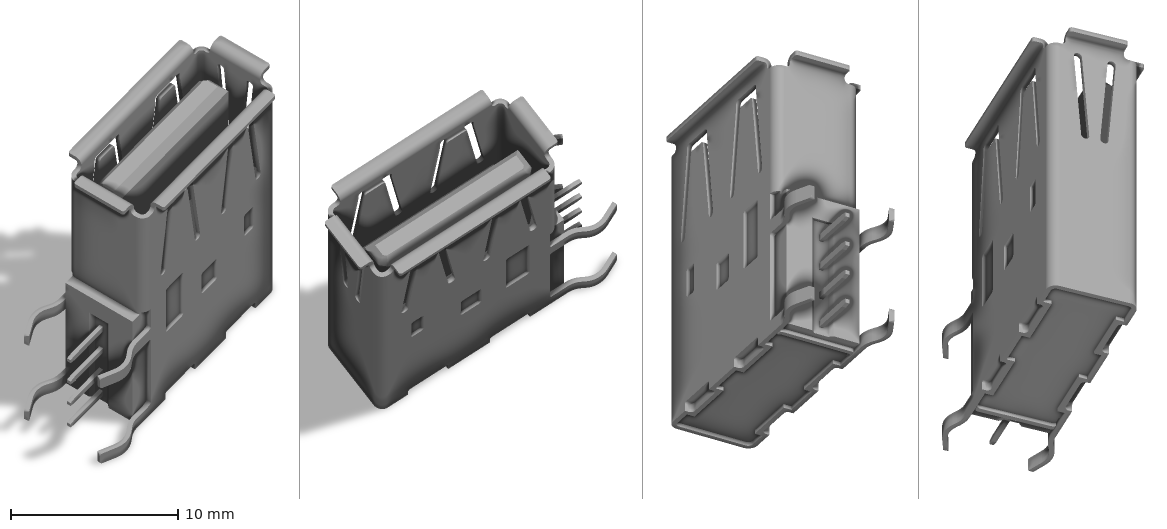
import cadquery as cq
import math

SHEET = 0.3
SHELL_HALF_X = 2.9
SHELL_HALF_Y = 6.55
CORNER_RADIUS = 0.62
TUBE_TOP = 18.47
INNER_HALF_X = SHELL_HALF_X - SHEET
INNER_HALF_Y = SHELL_HALF_Y - SHEET

LIP_TOP = 19.3
LIP_BEND = 0.15
LIP_ROOT_FILLET = 0.29
LIP_TIP_ROUND = 0.15
OUTER_WIDTH = 7.2
SIDE_LIP_TIP = OUTER_WIDTH / 2
SIDE_LIP_HALF_LENGTH = 5.54
END_LIP_TIP = 7.25
END_LIP_HALF_LENGTH = 1.87

SPRING_Y = 3.0
WINDOW_TOP = 18.24
WINDOW_HALF_TOP = 1.24
WINDOW_HALF_BOTTOM = 1.97
WINDOW_FILLET = 0.29
SPRING_TOP = 17.56
SPRING_FILLET = 0.2
SLOT_WIDTH = 0.52
SLOT_BOTTOM = 11.83

END_SLOT_TOP = 18.05
END_SLOT_HEIGHT = 6.37
END_SLOT_X = 0.85
END_SLOT_TILT = 4.6

RECESSES = [
    (3.78, 8.7, 0.93, 1.97),
    (-0.14, 7.31, 1.52, 1.9),
    (-3.55, 8.15, 1.74, 3.98),
]
RECESS_DEPTH = 0.15
RECESS_CORNER = 0.2
RECESS_DRAFT = 45

OPENING_TOP = 9.75
OPENING_Y = -5.9
OPENING_FILLET = 0.2
NOTCH_LENGTH = 2.91
NOTCH_HEIGHT = 0.6
NOTCH_FILLET = 0.15
TAB_HALF_X = 2.37
TAB_CORNER = 0.29

CLIP_HEIGHT = 0.9
CLIP_LEVELS = (0.0, 6.99)
CLIP_BEND_START_Y = -7.25
CLIP_TIP_Y = -10.87
CLIP_OUTWARD_ANGLE = 30
CLIP_INWARD_ANGLE = 25
CLIP_FIRST_RADIUS = 1.66
CLIP_SECOND_RADIUS = 1.5
CLIP_RAMP_LENGTH = 0.33
CLIP_TIP_ROUND = 0.2

HOUSING_BOTTOM = 0.25
FLOOR_Z = 10.42
HOUSING_REAR_Y = -5.64
BLOCK_HALF_X = 2.5
BLOCK_REAR_Y = -7.22
BLOCK_TOP = 9.53
LEDGE_TOP = 10.04

TONGUE_X_MIN = -1.87
TONGUE_X_MAX = -0.02
TONGUE_HALF_Y = 5.6
TONGUE_TOP = 17.52
TONGUE_CORNER = 0.42
TONGUE_LEAD_IN = 0.55
TONGUE_LEAD_IN_RUN = 0.45

GROOVE_TOP = 8.05
GROOVE_HALF_MOUTH = 0.73
GROOVE_HALF_FLOOR = 0.48
GROOVE_DEPTH = 0.23
PIN_COUNT = 4
PIN_PITCH = 1.99
FIRST_PIN_Z = 0.96
PIN_WIDTH = 0.27
PIN_HEIGHT = 0.42
PIN_TIP_HEIGHT = 0.27
PIN_TIP_Y = -10.2
PIN_TAPER = 0.4
PIN_EMBED = 0.39


def box(x_range, y_range, z_range):
    """Box spanning the given (low, high) pairs."""
    size = [high - low for low, high in (x_range, y_range, z_range)]
    low_corner = (x_range[0], y_range[0], z_range[0])
    return cq.Workplane("XY").box(*size, centered=False).translate(low_corner)


def on_both_sides(solid):
    """The solid together with its mirror image across X = 0."""
    return solid.union(solid.mirror("YZ"))


def tube():
    outer = cq.Workplane("XY").rect(2 * SHELL_HALF_X, 2 * SHELL_HALF_Y).extrude(TUBE_TOP)
    inner = cq.Workplane("XY").rect(2 * INNER_HALF_X, 2 * INNER_HALF_Y).extrude(TUBE_TOP)
    outer = outer.edges("|Z").fillet(CORNER_RADIUS)
    inner = inner.edges("|Z").fillet(CORNER_RADIUS - SHEET)
    return outer.cut(inner)


def lip(wall_outer, tip, half_length):
    """Lip that rises from the wall facing +X and flares outward."""
    outer_radius = LIP_BEND + SHEET
    bend_z = LIP_TOP - outer_radius
    bend_x = wall_outer + LIP_BEND
    slant = math.sqrt(0.5)
    profile = (
        cq.Workplane("XZ")
        .moveTo(wall_outer - SHEET, TUBE_TOP)
        .lineTo(wall_outer - SHEET, bend_z)
        .threePointArc((bend_x - outer_radius * slant, bend_z + outer_radius * slant), (bend_x, LIP_TOP))
        .lineTo(tip, LIP_TOP)
        .lineTo(tip, LIP_TOP - SHEET)
        .lineTo(bend_x, LIP_TOP - SHEET)
        .threePointArc((bend_x - LIP_BEND * slant, bend_z + LIP_BEND * slant), (wall_outer, bend_z))
        .lineTo(wall_outer, TUBE_TOP)
        .close()
    )
    flare = profile.extrude(half_length, both=True).edges("|Z and >X").fillet(LIP_TIP_ROUND)

    root_end = half_length + LIP_ROOT_FILLET
    root_top = TUBE_TOP + LIP_ROOT_FILLET
    root = box((wall_outer - SHEET, wall_outer), (-root_end, root_end), (TUBE_TOP, root_top))
    for end in (-root_end, root_end):
        round_cut = (
            cq.Workplane("YZ", origin=(wall_outer - SHEET, 0, 0))
            .center(end, root_top)
            .circle(LIP_ROOT_FILLET)
            .extrude(SHEET)
        )
        root = root.cut(round_cut)
    return flare.union(root)


def spring_cut(y_center):
    """Opening through both long walls that leaves one tapered spring standing."""
    slot_end_z = SLOT_BOTTOM + SLOT_WIDTH / 2
    spring_half_top = WINDOW_HALF_TOP - SLOT_WIDTH
    spring_half_bottom = WINDOW_HALF_BOTTOM - SLOT_WIDTH
    slot_mid = (WINDOW_HALF_BOTTOM + spring_half_bottom) / 2
    opening = (
        cq.Workplane("YZ", origin=(-SHELL_HALF_X, y_center, 0))
        .moveTo(-WINDOW_HALF_TOP, WINDOW_TOP)
        .lineTo(WINDOW_HALF_TOP, WINDOW_TOP)
        .lineTo(WINDOW_HALF_TOP, SPRING_TOP)
        .lineTo(WINDOW_HALF_BOTTOM, slot_end_z)
        .threePointArc((slot_mid, SLOT_BOTTOM), (spring_half_bottom, slot_end_z))
        .lineTo(spring_half_top, SPRING_TOP)
        .lineTo(-spring_half_top, SPRING_TOP)
        .lineTo(-spring_half_bottom, slot_end_z)
        .threePointArc((-slot_mid, SLOT_BOTTOM), (-WINDOW_HALF_BOTTOM, slot_end_z))
        .lineTo(-WINDOW_HALF_TOP, SPRING_TOP)
        .close()
        .extrude(2 * SHELL_HALF_X)
    )
    opening = opening.edges("|X and >Z").fillet(WINDOW_FILLET)
    spring_corners = cq.selectors.BoxSelector(
        (-SHEET, y_center - spring_half_top - SHEET / 2, SPRING_TOP - SHEET / 2),
        (SHEET, y_center + spring_half_top + SHEET / 2, SPRING_TOP + SHEET / 2),
    )
    return opening.edges(spring_corners).fillet(SPRING_FILLET)


def end_slots():
    """Two slots through the +Y wall, closer together at the bottom."""
    slot = (
        cq.Workplane("XZ", origin=(END_SLOT_X, SHELL_HALF_Y, END_SLOT_TOP - END_SLOT_HEIGHT / 2))
        .slot2D(END_SLOT_HEIGHT, SLOT_WIDTH, 90 - END_SLOT_TILT)
        .extrude(SHEET)
    )
    return on_both_sides(slot)


def rear_opening():
    """Space cleared at the -Y corners of the shell, below the foot of the end wall."""
    x_range = (BLOCK_HALF_X, SHELL_HALF_X)
    y_range = (-SHELL_HALF_Y, OPENING_Y)
    lower_clip, upper_clip = [(level, level + CLIP_HEIGHT) for level in CLIP_LEVELS]
    above_clips = box(x_range, y_range, (upper_clip[1], OPENING_TOP))
    between_clips = box(x_range, y_range, (lower_clip[1], upper_clip[0]))
    cleared = above_clips.edges("|X and >Y and <Z").fillet(OPENING_FILLET)
    cleared = cleared.union(between_clips.edges("|X and >Y").fillet(OPENING_FILLET))
    for clip_span in (lower_clip, upper_clip):
        cleared = cleared.union(box(x_range, y_range, clip_span))
    return on_both_sides(cleared)


def bottom_notch(y_center):
    y_range = (y_center - NOTCH_LENGTH / 2, y_center + NOTCH_LENGTH / 2)
    notch = box((-SHELL_HALF_X, SHELL_HALF_X), y_range, (0, NOTCH_HEIGHT))
    return notch.edges("|X and >Z").fillet(NOTCH_FILLET)


def wall_recess(y_center, z_center, length, height):
    """Shallow drafted recess pressed into the wall facing -X."""
    return (
        cq.Workplane("YZ", origin=(-SHELL_HALF_X, y_center, z_center))
        .sketch()
        .rect(length, height)
        .vertices()
        .fillet(RECESS_CORNER)
        .finalize()
        .extrude(RECESS_DEPTH, taper=RECESS_DRAFT)
    )


def clip(z_bottom):
    """Snap leg in line with the +X wall: it bows outward, then turns back in."""
    rise = math.radians(CLIP_OUTWARD_ANGLE)
    fall = math.radians(-CLIP_INWARD_ANGLE)
    half_sheet = SHEET / 2

    first_x = SHELL_HALF_X - half_sheet + CLIP_FIRST_RADIUS
    first_y = CLIP_BEND_START_Y
    center_gap = CLIP_FIRST_RADIUS + CLIP_SECOND_RADIUS
    second_x = first_x - center_gap * math.cos(rise) + CLIP_RAMP_LENGTH * math.sin(rise)
    second_y = first_y - center_gap * math.sin(rise) - CLIP_RAMP_LENGTH * math.cos(rise)

    def first_bend(angle, offset):
        radius = CLIP_FIRST_RADIUS - offset
        return (first_x - radius * math.cos(angle), first_y - radius * math.sin(angle))

    def second_bend(angle, offset):
        radius = CLIP_SECOND_RADIUS + offset
        return (second_x + radius * math.cos(angle), second_y + radius * math.sin(angle))

    def tip(offset):
        """Corner of the square-cut end of the straight leg; the outer corner reaches lowest in Y."""
        start_x, start_y = second_bend(fall, offset)
        y = CLIP_TIP_Y + (offset - half_sheet) * math.sin(fall)
        return (start_x + (start_y - y) * math.tan(fall), y)

    outline = (
        cq.Workplane("XY", origin=(0, 0, z_bottom))
        .moveTo(SHELL_HALF_X, OPENING_Y)
        .lineTo(*first_bend(0, half_sheet))
        .threePointArc(first_bend(rise / 2, half_sheet), first_bend(rise, half_sheet))
        .lineTo(*second_bend(rise, half_sheet))
        .threePointArc(second_bend(0, half_sheet), second_bend(fall, half_sheet))
        .lineTo(*tip(half_sheet))
        .lineTo(*tip(-half_sheet))
        .lineTo(*second_bend(fall, -half_sheet))
        .threePointArc(second_bend(0, -half_sheet), second_bend(rise, -half_sheet))
        .lineTo(*first_bend(rise, -half_sheet))
        .threePointArc(first_bend(rise / 2, -half_sheet), first_bend(0, -half_sheet))
        .lineTo(INNER_HALF_X, OPENING_Y)
        .close()
    )
    leg = outline.extrude(CLIP_HEIGHT)
    rounded_profile = (
        box((0, 2 * SHELL_HALF_X), (CLIP_TIP_Y, OPENING_Y), (z_bottom, z_bottom + CLIP_HEIGHT))
        .edges("|X and <Y")
        .fillet(CLIP_TIP_ROUND)
    )
    return leg.intersect(rounded_profile)


def shell():
    body = tube()
    for angle in (0, 180):
        side_lip = lip(SHELL_HALF_X, SIDE_LIP_TIP, SIDE_LIP_HALF_LENGTH)
        end_lip = lip(SHELL_HALF_Y, END_LIP_TIP, END_LIP_HALF_LENGTH)
        body = body.union(side_lip.rotate((0, 0, 0), (0, 0, 1), angle))
        body = body.union(end_lip.rotate((0, 0, 0), (0, 0, 1), angle + 90))
    for y_center in (-SPRING_Y, SPRING_Y):
        body = body.cut(spring_cut(y_center)).cut(bottom_notch(y_center))
    body = body.cut(end_slots()).cut(rear_opening())
    for recess in RECESSES:
        body = body.cut(on_both_sides(wall_recess(*recess)))
    for level in CLIP_LEVELS:
        body = body.union(on_both_sides(clip(level)))
    return body


def tongue():
    """Contact tongue with a lead-in slope on every side of its top."""
    slope_z = TONGUE_TOP - TONGUE_LEAD_IN
    footprint = cq.Sketch().polygon([
        (TONGUE_X_MAX, -TONGUE_HALF_Y),
        (TONGUE_X_MAX, TONGUE_HALF_Y),
        (TONGUE_X_MIN + TONGUE_CORNER, TONGUE_HALF_Y),
        (TONGUE_X_MIN, TONGUE_HALF_Y - TONGUE_CORNER),
        (TONGUE_X_MIN, TONGUE_CORNER - TONGUE_HALF_Y),
        (TONGUE_X_MIN + TONGUE_CORNER, -TONGUE_HALF_Y),
        (TONGUE_X_MAX, -TONGUE_HALF_Y),
    ])
    slope_angle = math.degrees(math.atan(TONGUE_LEAD_IN_RUN / TONGUE_LEAD_IN))
    stem = cq.Workplane("XY").placeSketch(footprint).extrude(slope_z - HOUSING_BOTTOM)
    head = cq.Workplane("XY").placeSketch(footprint).extrude(TONGUE_LEAD_IN, taper=slope_angle)
    return stem.translate((0, 0, HOUSING_BOTTOM)).union(head.translate((0, 0, slope_z)))


def rear_block():
    """Block behind the shell opening, with a flared groove up its rear face."""
    block = box((-BLOCK_HALF_X, BLOCK_HALF_X), (BLOCK_REAR_Y, HOUSING_REAR_Y), (HOUSING_BOTTOM, BLOCK_TOP))
    ledge = box((-BLOCK_HALF_X, BLOCK_HALF_X), (-INNER_HALF_Y, HOUSING_REAR_Y), (HOUSING_BOTTOM, LEDGE_TOP))
    groove_floor_y = BLOCK_REAR_Y + GROOVE_DEPTH
    groove = (
        cq.Workplane("XY", origin=(0, 0, HOUSING_BOTTOM))
        .moveTo(-GROOVE_HALF_MOUTH, BLOCK_REAR_Y)
        .lineTo(GROOVE_HALF_MOUTH, BLOCK_REAR_Y)
        .lineTo(GROOVE_HALF_FLOOR, groove_floor_y)
        .lineTo(-GROOVE_HALF_FLOOR, groove_floor_y)
        .close()
        .extrude(GROOVE_TOP - HOUSING_BOTTOM)
    )
    return block.cut(groove).union(ledge)


def tab_pocket(y_center):
    """Hollow behind a bottom notch, reaching in to the face of the tab there."""
    y_range = (y_center - NOTCH_LENGTH / 2, y_center + NOTCH_LENGTH / 2)
    hollow = box((TAB_HALF_X, SHELL_HALF_X), y_range, (0, NOTCH_HEIGHT))
    hollow = hollow.edges("|Z and <X").fillet(TAB_CORNER)
    return on_both_sides(hollow.intersect(bottom_notch(y_center)))


def inset_tabs(y_center):
    """Strips of sheet set inward at the bottom of both long walls, gripping the housing."""
    half_length = NOTCH_LENGTH / 2 + SHEET
    y_range = (y_center - half_length, y_center + half_length)
    return on_both_sides(box((TAB_HALF_X - SHEET, INNER_HALF_X), y_range, (0, NOTCH_HEIGHT)))


def pin(z_center):
    half_height = PIN_HEIGHT / 2
    half_tip = PIN_TIP_HEIGHT / 2
    root_y = BLOCK_REAR_Y + GROOVE_DEPTH + PIN_EMBED
    taper_y = PIN_TIP_Y + PIN_TAPER
    return (
        cq.Workplane("YZ", origin=(0, 0, z_center))
        .moveTo(root_y, half_height)
        .lineTo(taper_y, half_height)
        .lineTo(PIN_TIP_Y, half_tip)
        .lineTo(PIN_TIP_Y, -half_tip)
        .lineTo(taper_y, -half_height)
        .lineTo(root_y, -half_height)
        .close()
        .extrude(PIN_WIDTH / 2, both=True)
    )


def housing():
    core = box((-INNER_HALF_X, INNER_HALF_X), (HOUSING_REAR_Y, INNER_HALF_Y), (HOUSING_BOTTOM, FLOOR_Z))
    core = core.edges("|Z and >Y").fillet(CORNER_RADIUS - SHEET)
    body = core.union(rear_block()).union(tongue())
    for y_center in (-SPRING_Y, SPRING_Y):
        body = body.union(inset_tabs(y_center)).cut(tab_pocket(y_center))
    for index in range(PIN_COUNT):
        body = body.union(pin(FIRST_PIN_Z + index * PIN_PITCH))
    return body


result = shell().union(housing())